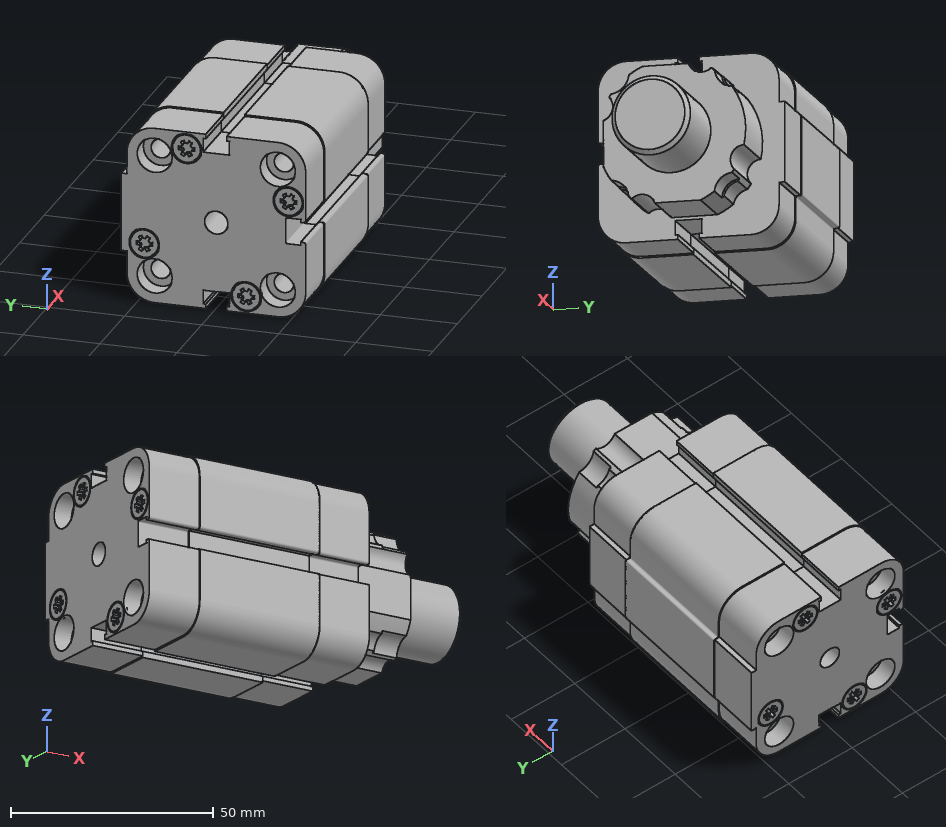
import cadquery as cq
import math


cap_length = 14.7
barrel_length = 35.2
neck_length = 15.8
total_length = 100.5
front_cap_start = cap_length + barrel_length
neck_start = front_cap_start + cap_length
rod_start = neck_start + neck_length

barrel_half_width = 23.5
cap_half_width_y = 23.2
cap_half_width_z = 23.1
corner_center = 16.0
corner_radius = barrel_half_width - corner_center
cap_corner_radius = cap_half_width_z - corner_center
lug_height = 1.5
lug_half_width = 10.3
lug_fillet = 0.5

slot_mouth_half = 2.7
slot_inner_half = 3.4
slot_lip_depth = 21.9
slot_floor = 18.3
side_mouth_half = 2.6
side_mouth_rounding = 0.6
side_cap_floor = 18.1
side_cap_floor_fillet = 0.4
side_barrel_floor = 18.5

port_radius = 3.0
mount_bore_radius = 2.5
mount_head_radius = 4.5
mount_head_depth = 5.0

screw_y = 7.7
screw_z = 18.7
screw_ring_outer = 3.9
screw_ring_inner = 3.6
screw_ring_depth = 1.0
star_core_radius = 1.4
star_tip_radius = 2.1
star_lobe_width = 0.9
star_lobe_count = 6
star_depth = 1.5

neck_radius = 19.0
neck_flat = 17.5
neck_screw_radius = 3.6
nut_relief_radius = 5.0
nut_relief_length = 6.9

rod_radius = 10.0
rod_chamfer = 1.1

quarter_turns = [0, 90, 180, 270]


def section_plane(x):
    """Plane across the axis at x: local x is +Y, local y is +Z."""
    return cq.Workplane("YZ", origin=(x, 0, 0))


def around_axis(shape, angle):
    """Turn a shape about the cylinder axis."""
    return shape.rotate((0, 0, 0), (1, 0, 0), angle)


def cylinder(x, length, radius, y=0.0, z=0.0):
    """Round bar parallel to the axis."""
    return section_plane(x).center(y, z).circle(radius).extrude(length)


def cap_lug(x):
    """Low square-edged pad along the +Y side of a cap."""
    top = cap_half_width_y + lug_height
    return section_plane(x).center(top / 2, 0).rect(top, 2 * lug_half_width).extrude(cap_length)


def barrel_lug():
    """Low pad along the +Y side of the barrel, with rounded crest corners and root fillets."""
    base = barrel_half_width
    top = base + lug_height
    width = lug_half_width
    r = lug_fillet
    return (
        section_plane(cap_length)
        .moveTo(0, -width - r)
        .lineTo(base, -width - r)
        .radiusArc((base + r, -width), r)
        .lineTo(top - r, -width)
        .radiusArc((top, -width + r), -r)
        .lineTo(top, width - r)
        .radiusArc((top - r, width), -r)
        .lineTo(base + r, width)
        .radiusArc((base, width + r), r)
        .lineTo(0, width + r)
        .close()
        .extrude(barrel_length)
    )


def t_slot(x, length, mouth_half, floor, floor_fillet=0.0):
    """Cutter for a T-slot that opens toward +Z."""
    outside = barrel_half_width + 1.0
    inner = (
        section_plane(x)
        .center(0, (floor + slot_lip_depth) / 2)
        .rect(2 * slot_inner_half, slot_lip_depth - floor)
        .extrude(length)
    )
    if floor_fillet:
        inner = inner.edges("|X and <Z").fillet(floor_fillet)
    mouth_center = (slot_lip_depth + outside) / 2
    mouth = (
        section_plane(x)
        .center(0, mouth_center)
        .rect(2 * mouth_half, outside - slot_lip_depth)
        .extrude(length)
    )
    return inner.union(mouth)


def rounded_block(x, length, half_width_y, half_width_z, radius):
    """Square bar along the axis with rounded corners."""
    block = section_plane(x).rect(2 * half_width_y, 2 * half_width_z).extrude(length)
    return block.edges("|X").fillet(radius)


def cut_slots(block, x, length, half_width_y, side_floor, side_floor_fillet=0.0):
    """Cut the +Z, -Z and -Y slots and round the mouth of the -Y slot."""
    slot = t_slot(x, length, slot_mouth_half, slot_floor)
    block = block.cut(slot).cut(around_axis(slot, 180))

    side_slot = t_slot(x, length, side_mouth_half, side_floor, side_floor_fillet)
    block = block.cut(around_axis(side_slot, 90))
    for side in (-1, 1):
        lip = (x + length / 2, -half_width_y, side * side_mouth_half)
        block = block.edges(cq.NearestToPointSelector(lip)).fillet(side_mouth_rounding)
    return block


def cap_block(x):
    """Slotted block common to both caps."""
    block = rounded_block(x, cap_length, cap_half_width_y, cap_half_width_z, cap_corner_radius)
    block = block.union(cap_lug(x))
    return cut_slots(block, x, cap_length, cap_half_width_y, side_cap_floor, side_cap_floor_fillet)


def screw_ring():
    """Cutter for the ring around a screw head."""
    recess = cylinder(0, screw_ring_depth, screw_ring_outer)
    recess = recess.cut(cylinder(0, screw_ring_depth, screw_ring_inner))
    return recess.translate((0, screw_y, screw_z))


def star_drive():
    """Cutter for the six-lobed star socket of a screw, centred on the axis."""
    star = cylinder(0, star_depth, star_core_radius)
    lobe = section_plane(0).center(star_tip_radius / 2, 0).rect(star_tip_radius, star_lobe_width)
    lobe = lobe.extrude(star_depth)
    for i in range(star_lobe_count):
        star = star.union(around_axis(lobe, i * 360 / star_lobe_count))
    return star


def make_rear_cap():
    cap = cap_block(0)
    cap = cap.cut(cylinder(0, cap_length, port_radius))
    mount = cylinder(0, cap_length, mount_bore_radius, corner_center, corner_center)
    mount = mount.union(cylinder(0, mount_head_depth, mount_head_radius, corner_center, corner_center))
    ring = screw_ring()
    star = star_drive()
    for angle in quarter_turns:
        cap = cap.cut(around_axis(mount, angle))
        cap = cap.cut(around_axis(ring, angle))
        turn = math.radians(angle)
        star_y = screw_y * math.cos(turn) - screw_z * math.sin(turn)
        star_z = screw_y * math.sin(turn) + screw_z * math.cos(turn)
        cap = cap.cut(star.translate((0, star_y, star_z)))
    return cap


def make_barrel():
    block = rounded_block(
        cap_length, barrel_length, barrel_half_width, barrel_half_width, corner_radius
    )
    block = block.union(barrel_lug())
    return cut_slots(block, cap_length, barrel_length, barrel_half_width, side_barrel_floor)


def make_neck():
    """Round boss with three flats, relieved for the screws and mounting nuts."""
    neck = cylinder(neck_start, neck_length, neck_radius)
    flats = (
        section_plane(neck_start)
        .center((neck_radius - neck_flat) / 2, 0)
        .rect(neck_radius + neck_flat, 2 * neck_flat)
        .extrude(neck_length)
    )
    neck = neck.intersect(flats)

    relief = cylinder(neck_start, neck_length, mount_head_radius, corner_center, corner_center)
    relief = relief.union(
        cylinder(
            rod_start - nut_relief_length,
            nut_relief_length,
            nut_relief_radius,
            corner_center,
            corner_center,
        )
    )
    screw_channel = cylinder(neck_start, neck_length, neck_screw_radius, screw_y, screw_z)
    for angle in quarter_turns:
        neck = neck.cut(around_axis(relief, angle))
        neck = neck.cut(around_axis(screw_channel, angle))
    return neck


def make_front_cap():
    return cap_block(front_cap_start).union(make_neck())


def make_rod():
    rod = cylinder(rod_start, total_length - rod_start, rod_radius)
    return rod.faces(">X").chamfer(rod_chamfer)


rear_cap = make_rear_cap()
barrel = make_barrel()
front_cap = make_front_cap()
rod = make_rod()

result = cq.Compound.makeCompound([rear_cap.val(), barrel.val(), front_cap.val(), rod.val()])